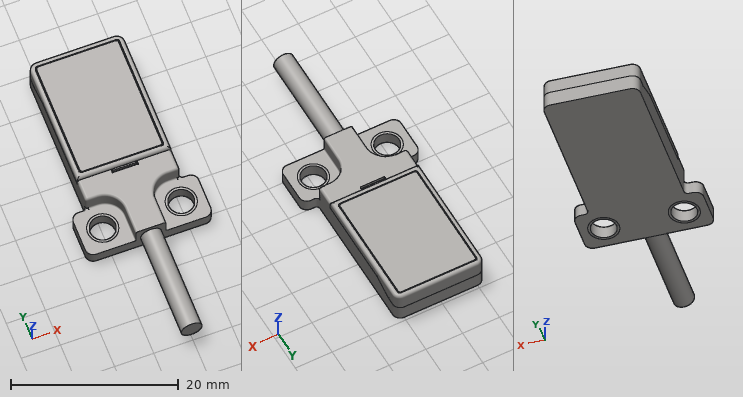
import cadquery as cq

body_width = 11.98
body_length = 25.53
corner_radius = 1.0
shoulder_height = 3.88
edge_radius = 0.4
ear_span = 16.0
ear_length = 6.0
ear_height = 1.72
ear_root_radius = 0.47
neck_width = 3.85
scoop_radius = 2.6
scoop_back_y = 6.1
scoop_edge_radius = 0.3
scoop_root_radius = 0.2

total_height = 4.2
cover_length = 16.55
cover_front_y = body_length - cover_length
parting_front_z = 3.05
parting_back_z = 2.07
slope_front_y = body_length - 4.95
slope_back_y = body_length - 2.1

panel_margin = 0.75
panel_back_margin = 0.75
panel_length = 15.0
panel_corner_radius = 0.3
panel_thickness = 0.4
panel_gap = 0.1
panel_width = body_width - 2 * panel_margin
panel_center_y = body_length - panel_back_margin - panel_length / 2

window_width = 3.05
window_length = 0.2
window_height = 0.4
window_slot_width = 3.3
window_slot_length = 0.47

bushing_spacing = 10.02
bushing_y = 3.0
bushing_radius = 1.9
bushing_bore_radius = 1.6
bushing_places = [(side * bushing_spacing / 2, bushing_y) for side in (-1, 1)]

cable_length = 39.15 - body_length
cable_radius = 1.35
cable_socket_depth = 3.9
cable_z = 2.05

tolerance = 0.05


def block(width, y_start, y_end, z_start, z_end):
    """Box centred on X = 0 between the given Y and Z limits."""
    return cq.Workplane("XY").box(
        width, y_end - y_start, z_end - z_start, centered=(True, False, False)
    ).translate((0, y_start, z_start))


def cover_region():
    """Space above the parting surface, as wide as the body."""
    return (
        cq.Workplane("YZ")
        .moveTo(cover_front_y, total_height)
        .lineTo(cover_front_y, parting_front_z)
        .lineTo(slope_front_y, parting_front_z)
        .lineTo(slope_back_y, parting_back_z)
        .lineTo(body_length, parting_back_z)
        .lineTo(body_length, total_height)
        .close()
        .extrude(body_width / 2, both=True)
    )


def scooped_outline():
    """Outline of body and neck, with a rounded scoop beside the neck for each ear."""
    arc_start_y = scoop_back_y - scoop_radius
    arc_end_x = neck_width / 2 + scoop_radius
    return (
        cq.Workplane("XY")
        .moveTo(-neck_width / 2, 0)
        .lineTo(neck_width / 2, 0)
        .lineTo(neck_width / 2, arc_start_y)
        .radiusArc((arc_end_x, scoop_back_y), scoop_radius)
        .lineTo(body_width / 2, scoop_back_y)
        .lineTo(body_width / 2, body_length)
        .lineTo(-body_width / 2, body_length)
        .lineTo(-body_width / 2, scoop_back_y)
        .lineTo(-arc_end_x, scoop_back_y)
        .radiusArc((-neck_width / 2, arc_start_y), scoop_radius)
        .close()
    )


def make_upper_housing():
    """Part above the ears, rounded along the upper edges of its sides and scoops."""
    upper = scooped_outline().extrude(shoulder_height - ear_height)
    upper = upper.translate((0, 0, ear_height))
    upper = upper.edges("|Z and >Y").fillet(corner_radius)
    upper = upper.faces(">Z").edges("|Y and (>X or <X)").fillet(edge_radius)
    scoop_rims = cq.selectors.BoxSelector(
        (-body_width / 2 + tolerance, tolerance, 0),
        (body_width / 2 - tolerance, scoop_back_y + tolerance, total_height),
    )
    return upper.faces(">Z").edges("not(<Y or >Y)").edges(scoop_rims).fillet(scoop_edge_radius)


def make_lower_housing():
    """Part level with the ears, with a small radius where each ear meets the body side."""
    ears = block(ear_span, 0, ear_length, 0, ear_height).edges("|Z").fillet(corner_radius)
    body = block(body_width, ear_length / 2, body_length, 0, ear_height)
    lower = ears.union(body.edges("|Z and >Y").fillet(corner_radius))
    half_width = body_width / 2 + tolerance
    ear_roots = cq.selectors.BoxSelector(
        (-half_width, ear_length - tolerance, 0),
        (half_width, ear_length + tolerance, ear_height),
    )
    return lower.edges("|Z").edges(ear_roots).fillet(ear_root_radius)


def make_root_radius():
    """Concave radius between the flat and round scoop walls and the top of the ears."""
    floor = block(ear_span, 0, body_length, 0, ear_height)
    stepped = floor.union(scooped_outline().extrude(shoulder_height))
    wall_roots = cq.selectors.BoxSelector(
        (-body_width / 2 + scoop_edge_radius, tolerance, ear_height - tolerance),
        (body_width / 2 - scoop_edge_radius, scoop_back_y + tolerance, ear_height + tolerance),
    )
    stepped = stepped.edges(wall_roots).fillet(scoop_root_radius)
    flat_wall_span = body_width - 2 * scoop_edge_radius
    kept_zone = block(
        flat_wall_span, 0, scoop_back_y + 0.4, ear_height, ear_height + scoop_root_radius
    )
    return stepped.intersect(kept_zone)


def cut_bushing_seats(housing):
    """Through holes in the ears that hold the bushings."""
    seats = cq.Workplane("XY").pushPoints(bushing_places).circle(bushing_radius).extrude(ear_height)
    return housing.cut(seats)


def make_housing():
    """Body, neck and ears, with seats for every other part."""
    housing = make_lower_housing().union(make_upper_housing()).union(make_root_radius())
    housing = housing.cut(cover_region())
    window_slot = block(
        window_slot_width, cover_front_y - window_slot_length, cover_front_y,
        shoulder_height - window_height, shoulder_height,
    )
    housing = housing.cut(window_slot)
    return cut_bushing_seats(housing).cut(make_cable())


def panel_plate(width, length):
    """Flat plate with rounded corners, level with the top of the cover."""
    plate = block(
        width, panel_center_y - length / 2, panel_center_y + length / 2,
        total_height - panel_thickness, total_height,
    )
    return plate.edges("|Z").fillet(panel_corner_radius)


def make_cover():
    """Lid with a rounded rim and a shallow recess for the face panel."""
    cover = cover_region().edges("|Z and >Y").fillet(corner_radius)
    cover = cover.faces(">Z").edges().fillet(edge_radius)
    recess = panel_plate(panel_width + 2 * panel_gap, panel_length + 2 * panel_gap)
    return cover.cut(recess)


def make_panel():
    """Face panel that lies in the recess of the cover."""
    return panel_plate(panel_width, panel_length)


def make_window():
    """Indicator window that stands in its slot against the front of the cover."""
    return block(
        window_width, cover_front_y - window_length, cover_front_y,
        shoulder_height - window_height, shoulder_height,
    )


def make_bushing(x, y):
    """Plain sleeve as tall as the ear that holds it."""
    return (
        cq.Workplane("XY").center(x, y)
        .circle(bushing_radius).circle(bushing_bore_radius)
        .extrude(ear_height)
    )


def make_cable():
    """Round cable that runs from its socket in the neck out towards -Y."""
    start = cq.Workplane("XZ", origin=(0, cable_socket_depth, cable_z))
    return start.circle(cable_radius).extrude(cable_socket_depth + cable_length)


housing = make_housing()
cover = make_cover()
panel = make_panel()
window = make_window()
bushings = [make_bushing(x, y) for x, y in bushing_places]
cable = make_cable()

result = cq.Compound.makeCompound([
    housing.val(),
    cover.val(),
    panel.val(),
    window.val(),
    *[bushing.val() for bushing in bushings],
    cable.val(),
])